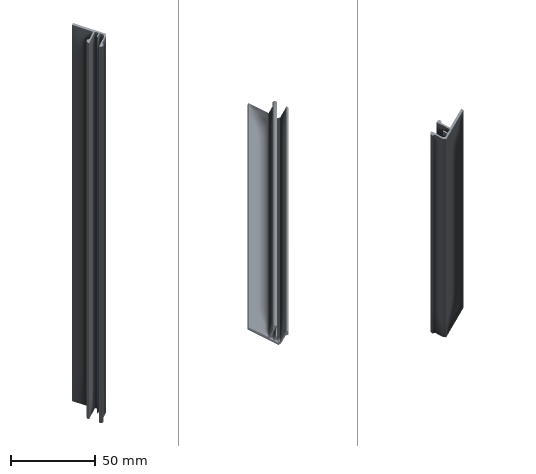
import cadquery as cq
import math

length = 376.0
overall_width = 23.0
overall_depth = 10.0

plate_thickness = 1.5
channel_plate_thickness = 1.0

leg_thickness = 0.95
hook_reach = 1.0
hook_shoulder_depth = 7.0
hook_tip_depth = 8.3
hook_radius = 1.5
left_leg_outer = 13.5
left_leg_inner = left_leg_outer + leg_thickness
right_leg_outer = overall_width - hook_reach
right_leg_inner = right_leg_outer - leg_thickness

inner_bevel_size = 1.0
outer_bevel_width = 0.8
outer_bevel_depth = 2.0

rib_center = 17.3
rib_thickness = 0.8
rib_depth = 4.0


def extrude_outline(points):
    return cq.Workplane("XY").polyline(points).close().extrude(length)


def block(x_start, x_end, y_start, y_end):
    return extrude_outline([
        (x_start, y_start), (x_end, y_start), (x_end, y_end), (x_start, y_end),
    ])


def hooked_leg(outer, outward):
    """Leg whose hook points along X in the given direction (-1 or 1)."""
    inner = outer - outward * leg_thickness
    hook_tip = outer + outward * hook_reach
    arc_center_x = hook_tip - outward * hook_radius
    arc_center_y = hook_radius - overall_depth
    arc_offset = hook_radius * math.sqrt(0.5)
    return (
        cq.Workplane("XY")
        .moveTo(inner, 0)
        .lineTo(outer, 0)
        .lineTo(outer, -hook_shoulder_depth)
        .lineTo(hook_tip, -hook_tip_depth)
        .lineTo(hook_tip, arc_center_y)
        .threePointArc(
            (arc_center_x + outward * arc_offset, arc_center_y - arc_offset),
            (arc_center_x, -overall_depth),
        )
        .lineTo(inner, -overall_depth)
        .close()
        .extrude(length)
    )


thick_plate = block(0, left_leg_inner, -plate_thickness, 0)
channel_plate = block(left_leg_inner, right_leg_outer, -channel_plate_thickness, 0)

inner_bevel = extrude_outline([
    (right_leg_inner - inner_bevel_size, -channel_plate_thickness),
    (right_leg_inner, -channel_plate_thickness),
    (right_leg_inner, -channel_plate_thickness - inner_bevel_size),
])

outer_bevel = extrude_outline([
    (right_leg_outer - outer_bevel_width, 0),
    (right_leg_outer, 0),
    (right_leg_outer, -outer_bevel_depth),
])

rib = block(
    rib_center - rib_thickness / 2, rib_center + rib_thickness / 2,
    -rib_depth, -channel_plate_thickness,
)

profile = (
    thick_plate
    .union(channel_plate)
    .union(hooked_leg(left_leg_outer, -1))
    .union(hooked_leg(right_leg_outer, 1))
    .union(inner_bevel)
    .union(rib)
    .cut(outer_bevel)
)

result = profile.translate((-overall_width / 2, overall_depth / 2, -length / 2))